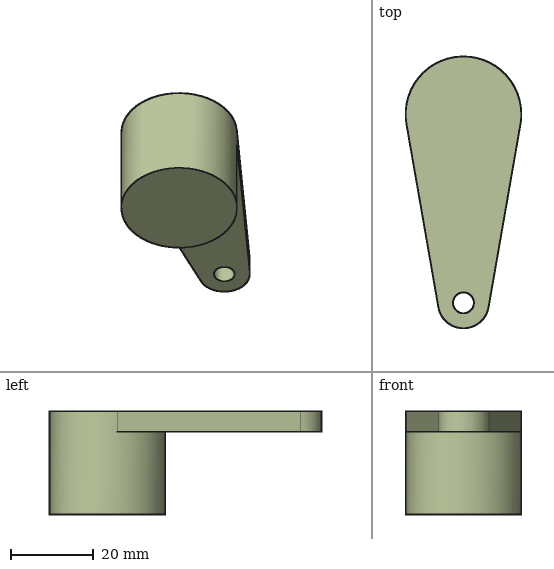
import cadquery as cq
import math

total_length = 65.8
total_height = 25.0
boss_radius = 28.0 / 2
tip_radius = 6.2
arm_thickness = 5.0
hole_diameter = 5.0

axis_spacing = total_length - boss_radius - tip_radius
arm_bottom = total_height - arm_thickness

tangent_angle = math.asin((boss_radius - tip_radius) / axis_spacing)


def tangent_point(radius, center_y):
    """Point on the +X side where a straight side touches an end arc."""
    return radius * math.cos(tangent_angle), center_y - radius * math.sin(tangent_angle)


def make_boss():
    return cq.Workplane("XY").circle(boss_radius).extrude(total_height)


def make_arm():
    boss_x, boss_y = tangent_point(boss_radius, 0)
    tip_x, tip_y = tangent_point(tip_radius, -axis_spacing)
    return (
        cq.Workplane("XY")
        .workplane(offset=arm_bottom)
        .moveTo(boss_x, boss_y)
        .threePointArc((0, boss_radius), (-boss_x, boss_y))
        .lineTo(-tip_x, tip_y)
        .threePointArc((0, -axis_spacing - tip_radius), (tip_x, tip_y))
        .close()
        .extrude(arm_thickness)
    )


def make_tip_hole():
    return (
        cq.Workplane("XY")
        .workplane(offset=arm_bottom)
        .center(0, -axis_spacing)
        .circle(hole_diameter / 2)
        .extrude(arm_thickness)
    )


result = make_boss().union(make_arm()).cut(make_tip_hole())